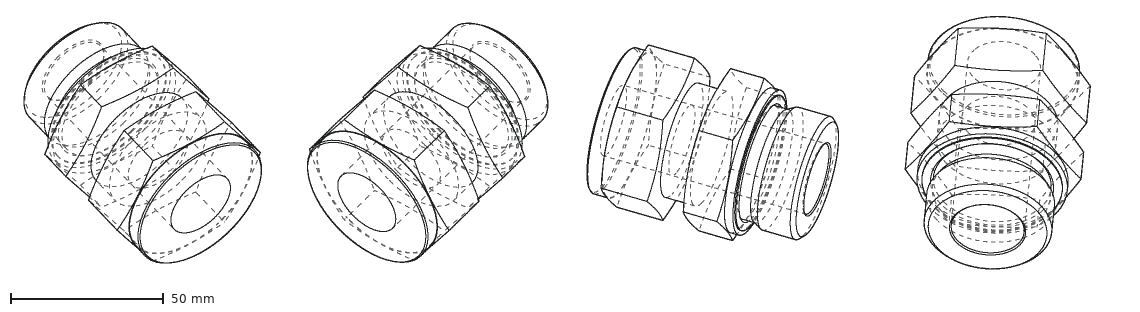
import cadquery as cq
import math

total_length = 71.4
hex_flats = 50.0
hex_corners = hex_flats / math.cos(math.radians(30))
bore_radius = 12.0
bore_chamfer = 0.5
hex_chamfer_angle = 15.0
hex_chamfer_radius = 24.7
cone_clearance = 0.7

end_chamfer = 1.5
stud_end = 13.0
relief_start = 16.0
seal_face = 19.7
collar_start = 20.1
seal_groove_bottom = 20.55
body_hex_start = 23.05
body_hex_end = 37.05
stud_radius = 21.0
relief_radius = 19.35
seal_groove_radius = 20.2
seal_step_radius = 23.05
collar_radius = 24.7
neck_radius = 19.5

nut_start = 47.5
nut_hex_end = 65.8
nut_collar_radius = 24.9
nut_end_chamfer = 0.5


def revolve_about_x(profile):
    """Revolve an outline of (x, radius) points about the X axis."""
    return cq.Workplane("XY").polyline(profile).close().revolve(360, (0, 0), (1, 0))


def x_cylinder(start, end, radius):
    return cq.Workplane("YZ", origin=(start, 0, 0)).circle(radius).extrude(end - start)


def chamfered_hexagon(start, end):
    """Hexagon with flats facing +Z and -Z and its corners turned off conically at both ends."""
    hexagon = cq.Workplane("YZ", origin=(start, 0, 0)).polygon(6, hex_corners).extrude(end - start)
    outer_radius = hex_corners / 2 + cone_clearance
    cone_depth = (outer_radius - hex_chamfer_radius) * math.tan(math.radians(hex_chamfer_angle))
    envelope = revolve_about_x([
        (start, 0),
        (start, hex_chamfer_radius),
        (start + cone_depth, outer_radius),
        (end - cone_depth, outer_radius),
        (end, hex_chamfer_radius),
        (end, 0),
    ])
    return hexagon.intersect(envelope)


def make_fitting_body():
    """Stud with a relief, a V-shaped seal groove in the collar face, a hexagon and a neck."""
    stud_and_collar = revolve_about_x([
        (0, 0),
        (0, stud_radius - end_chamfer),
        (end_chamfer, stud_radius),
        (stud_end, stud_radius),
        (relief_start, relief_radius),
        (seal_groove_bottom, relief_radius),
        (seal_face, seal_groove_radius),
        (seal_face, seal_step_radius),
        (collar_start, seal_step_radius),
        (collar_start, collar_radius),
        (body_hex_start, collar_radius),
        (body_hex_start, 0),
    ])
    neck = x_cylinder(body_hex_end, nut_start, neck_radius)
    bore = x_cylinder(0, nut_start, bore_radius)
    bore_mouth = revolve_about_x([
        (0, 0),
        (0, bore_radius + bore_chamfer),
        (bore_chamfer, bore_radius),
        (bore_chamfer, 0),
    ])
    hexagon = chamfered_hexagon(body_hex_start, body_hex_end)
    return stud_and_collar.union(hexagon).union(neck).cut(bore).cut(bore_mouth)


def make_union_nut():
    """Nut that meets the end of the body's neck and continues its bore."""
    collar = x_cylinder(nut_hex_end, total_length, nut_collar_radius).faces(">X").chamfer(nut_end_chamfer)
    bore = x_cylinder(nut_start, total_length, bore_radius)
    return chamfered_hexagon(nut_start, nut_hex_end).union(collar).cut(bore)


fitting_body = make_fitting_body()
union_nut = make_union_nut()

result = cq.Compound.makeCompound([fitting_body.val(), union_nut.val()])